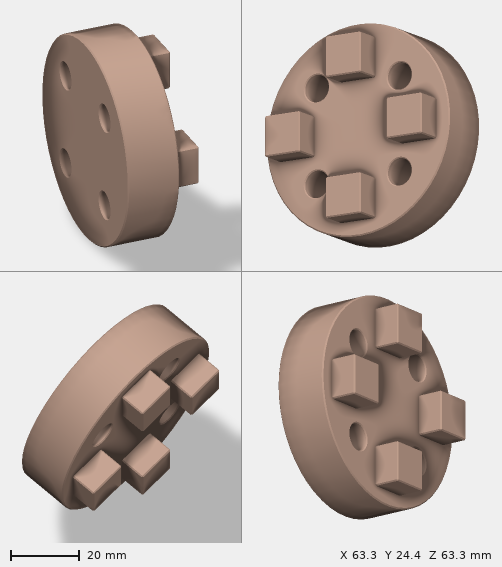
import cadquery as cq

disc_diameter = 63.3
disc_thickness = 16.3
edge_chamfer = 0.4

hole_diameter = 8.15
hole_spacing = 28.6
hole_chamfer = 0.3

stud_width = 12.15
stud_height = 8.1
stud_offset = 21.0
stud_chamfer = 0.4
stud_directions = [(1, 0), (0, 1), (-1, 0), (0, -1)]


def make_disc():
    """Solid disc from y = 0 to y = disc_thickness, chamfered on both rims."""
    stud_face = cq.Workplane("XZ", origin=(0, disc_thickness, 0))
    disc = stud_face.circle(disc_diameter / 2).extrude(disc_thickness)
    return disc.faces("<Y or >Y").chamfer(edge_chamfer)


def drill_holes(body):
    """Cut the through holes and chamfer their rims on both faces."""
    drilled = (
        body.faces("<Y")
        .workplane(centerOption="CenterOfBoundBox")
        .rect(hole_spacing, hole_spacing, forConstruction=True)
        .vertices()
        .hole(hole_diameter)
    )
    hole_rims = cq.selectors.RadiusNthSelector(0)
    return drilled.edges(hole_rims).chamfer(hole_chamfer)


def make_stud(x, z):
    """Square stud standing on the +Y face, chamfered on its sides and end."""
    stud = (
        cq.Workplane("XY")
        .box(stud_width, stud_height, stud_width)
        .edges("|Y or >Y")
        .chamfer(stud_chamfer)
    )
    return stud.translate((x, disc_thickness + stud_height / 2, z))


result = drill_holes(make_disc())
for x_step, z_step in stud_directions:
    result = result.union(make_stud(x_step * stud_offset, z_step * stud_offset))